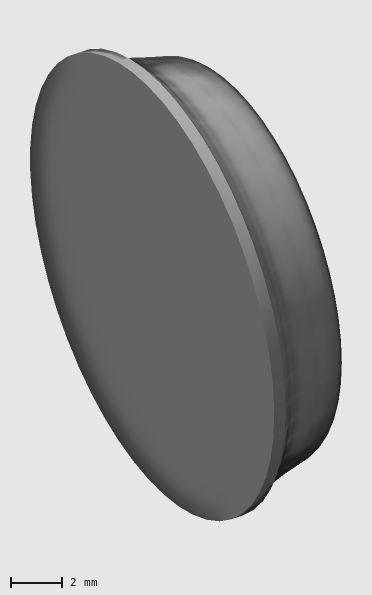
import cadquery as cq
import math

rim_diameter = 19.05
total_depth = 4.064
rim_thickness = 0.508
side_taper = math.radians(15.0)
flare_exit = math.radians(55.0)
flare_radius = 1.76
back_edge_radius = 0.889


def arc_point(center, radius, angle):
    """Point (r, y) on a profile arc, with the angle measured from the radial direction."""
    return (center[0] + radius * math.cos(angle), center[1] + radius * math.sin(angle))


rim_radius = rim_diameter / 2
flare_center = (
    rim_radius + flare_radius * math.cos(flare_exit),
    rim_thickness + flare_radius * math.sin(flare_exit),
)
flare_middle = arc_point(flare_center, flare_radius, math.pi + (flare_exit + side_taper) / 2)
flare_end = arc_point(flare_center, flare_radius, math.pi + side_taper)

round_start_depth = total_depth - back_edge_radius * (1 - math.sin(side_taper))
round_start_radius = flare_end[0] - (round_start_depth - flare_end[1]) * math.tan(side_taper)
round_center = (
    round_start_radius - back_edge_radius * math.cos(side_taper),
    total_depth - back_edge_radius,
)
round_middle = arc_point(round_center, back_edge_radius, (side_taper + math.pi / 2) / 2)


def make_button():
    """Revolve the half profile, drawn in the XY plane, about the Y axis."""
    profile = (
        cq.Workplane("XY")
        .moveTo(0, 0)
        .lineTo(rim_radius, 0)
        .lineTo(rim_radius, rim_thickness)
        .threePointArc(flare_middle, flare_end)
        .lineTo(round_start_radius, round_start_depth)
        .threePointArc(round_middle, (round_center[0], total_depth))
        .lineTo(0, total_depth)
        .close()
    )
    return profile.revolve(360, (0, 0, 0), (0, 1, 0))


result = make_button()